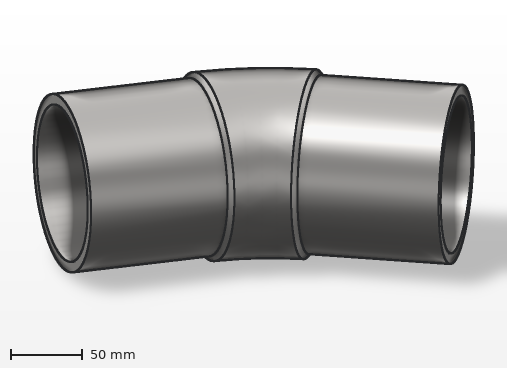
import cadquery as cq
import math

pipe_diameter = 125.0
bore_diameter = 110.2
collar_diameter = 132.5
elbow_angle = 30
overall_length = 296.2
pipe_length = 100.0
edge_chamfer = (collar_diameter - pipe_diameter) / 2

angle = math.radians(elbow_angle)
leg_length = (overall_length - pipe_diameter / 2 * math.sin(angle)) / (1 + math.cos(angle))
bend_radius = (leg_length - pipe_length) / math.tan(angle / 2)

inlet_plane = cq.Plane(origin=(0, 0, 0), xDir=(1, 0, 0), normal=(0, 1, 0))
bend_plane = cq.Plane(origin=(0, pipe_length, 0), xDir=(1, 0, 0), normal=(0, 1, 0))
outlet_plane = cq.Plane(
    origin=(bend_radius * (1 - math.cos(angle)), pipe_length + bend_radius * math.sin(angle), 0),
    xDir=(math.cos(angle), -math.sin(angle), 0),
    normal=(math.sin(angle), math.cos(angle), 0),
)


def straight_section(plane, diameter):
    return cq.Workplane(plane).circle(diameter / 2).extrude(pipe_length)


def bend_section(diameter):
    return (
        cq.Workplane(bend_plane)
        .circle(diameter / 2)
        .revolve(elbow_angle, (bend_radius, 0), (bend_radius, 1))
    )


def elbow(diameter, bend):
    inlet = straight_section(inlet_plane, diameter)
    outlet = straight_section(outlet_plane, diameter)
    return inlet.union(bend).union(outlet)


collar = bend_section(collar_diameter).edges("%CIRCLE").chamfer(edge_chamfer)

body = elbow(pipe_diameter, collar)
bore = elbow(bore_diameter, bend_section(bore_diameter))
result = body.cut(bore)